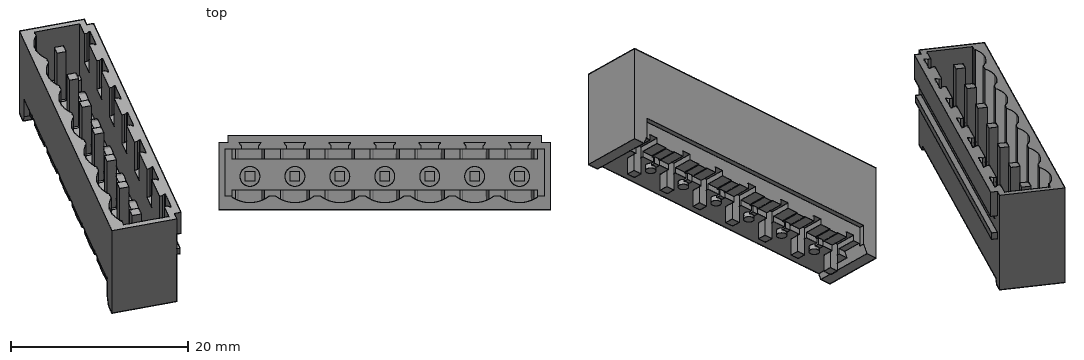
import cadquery as cq
import math


length = 37.45
depth = 7.65
height = 12.0
end_wall = 0.67

pin_count = 7
pin_row_span = 30.45
pitch = pin_row_span / (pin_count - 1)
pin_side = 1.1
pin_y = 3.8
pin_top = 11.15
pin_bottom = -1.5
collar_radius = 1.12
collar_depth = 0.22

cavity_front = 1.57
cavity_back = 6.9
floor_z = 4.5

scallop_front = 0.82
scallop_half_width = 2.17

trench_margin = 1.5
trench_z = 2.8
front_trench_edge = 2.25
back_trench_edge = 5.77

ridge_half_width = 1.65
ridge_crown_half_width = 1.35
ridge_flank_angle = math.radians(58)
ridge_crown_angle = math.radians(47)

neck_half_width = 0.97
tail_half_width = 1.2
neck_length = 0.35
tail_lip = 0.1
window_sill = 7.9

rail_margin = 1.0
latch_rail_projection = 0.8
latch_rail_bottom = 8.9
lower_rail_projection = 0.67
lower_rail_bottom = 6.0
lower_rail_top = 6.8

recess_margin = 1.95
recess_depth = 0.6
recess_top = 3.52
clearance_margin_bottom = 1.42
clearance_margin_top = 2.1
clearance_front_z = 1.35
clearance_back_z = 0.65
clearance_step_y = 2.95
pin_slot_top = 2.05

foot_radius = 0.6
rib_width = 0.7
rib_projection = 0.22
rib_bottom = 0.37
pad_height = 0.1

pin_xs = [(i - (pin_count - 1) / 2) * pitch for i in range(pin_count)]
foot_xs = [x + pitch / 2 for x in pin_xs[:-1]]


def block(x0, x1, y0, y1, z0, z1):
    """Axis-aligned block between the given limits."""
    return cq.Workplane("XY").box(x1 - x0, y1 - y0, z1 - z0, centered=False).translate((x0, y0, z0))


def span(margin, y0, y1, z0, z1):
    """Block centred in X that stops short of each housing end by the margin."""
    return block(margin - length / 2, length / 2 - margin, y0, y1, z0, z1)


def bar(x, width, y0, y1, z0, z1):
    """Block of the given width centred on x."""
    return block(x - width / 2, x + width / 2, y0, y1, z0, z1)


def scallop(x):
    """Shallow arc-shaped bite into the front wall."""
    return (
        cq.Workplane("XY", origin=(x, 0, trench_z))
        .moveTo(-scallop_half_width, cavity_front)
        .threePointArc((0, scallop_front), (scallop_half_width, cavity_front))
        .lineTo(scallop_half_width, front_trench_edge)
        .lineTo(-scallop_half_width, front_trench_edge)
        .close()
        .extrude(height - trench_z)
    )


def ridge(x, y0, y1):
    """Ridge with straight steep flanks under a round crown."""
    crown_radius = ridge_crown_half_width / math.sin(ridge_crown_angle)
    shoulder = (ridge_half_width - ridge_crown_half_width) * math.tan(ridge_flank_angle)
    crest = shoulder + crown_radius * (1 - math.cos(ridge_crown_angle))
    return (
        cq.Workplane("XZ", origin=(x, y1, trench_z))
        .moveTo(-ridge_half_width, 0)
        .lineTo(-ridge_crown_half_width, shoulder)
        .threePointArc((0, crest), (ridge_crown_half_width, shoulder))
        .lineTo(ridge_half_width, 0)
        .close()
        .extrude(y1 - y0)
    )


def window(x):
    """Dovetail slot from the cavity through the back wall, above the sill."""
    neck_end = cavity_back + neck_length
    tail_start = depth - tail_lip
    return (
        cq.Workplane("XY", origin=(x, 0, window_sill))
        .polyline([
            (-neck_half_width, cavity_back),
            (-neck_half_width, neck_end),
            (-tail_half_width, tail_start),
            (-tail_half_width, depth),
            (tail_half_width, depth),
            (tail_half_width, tail_start),
            (neck_half_width, neck_end),
            (neck_half_width, cavity_back),
        ])
        .close()
        .extrude(height - window_sill)
    )


def underside_clearance(y0, y1, top):
    """Channel between the end legs, which widen toward the top."""
    lean = (clearance_margin_top - clearance_margin_bottom) / clearance_front_z
    bottom_half = length / 2 - clearance_margin_bottom
    top_half = bottom_half - lean * top
    return (
        cq.Workplane("XZ", origin=(0, y1, 0))
        .polyline([(-bottom_half, 0), (-top_half, top), (top_half, top), (bottom_half, 0)])
        .close()
        .extrude(y1 - y0)
    )


body = span(0, 0, depth, 0, height)
body = body.cut(span(end_wall, cavity_front, cavity_back, floor_z, height))

trenches = span(trench_margin, cavity_front, front_trench_edge, trench_z, height)
for x in pin_xs:
    trenches = trenches.union(scallop(x))
trenches = trenches.intersect(span(trench_margin, 0, depth, trench_z, height))
back_trench = span(trench_margin, back_trench_edge, cavity_back, trench_z, height)
body = body.cut(trenches).cut(back_trench)

for x in pin_xs:
    body = body.union(ridge(x, scallop_front, front_trench_edge))
    body = body.union(ridge(x, back_trench_edge, cavity_back))

for x in pin_xs:
    body = body.cut(window(x))
body = body.union(span(rail_margin, depth, depth + latch_rail_projection, latch_rail_bottom, height))
body = body.union(
    span(rail_margin, depth, depth + lower_rail_projection, lower_rail_bottom, lower_rail_top)
)

body = body.cut(span(recess_margin, 0, recess_depth, 0, recess_top))
body = body.cut(underside_clearance(0, clearance_step_y, clearance_front_z))
body = body.cut(underside_clearance(clearance_step_y, depth, clearance_back_z))

rib_front = clearance_step_y - rib_projection
pad_bottom = clearance_front_z - pad_height
for x in foot_xs:
    foot = cq.Workplane("XY", origin=(x, pin_y, 0)).circle(foot_radius).extrude(clearance_back_z)
    rib = bar(x, rib_width, rib_front, pin_y, rib_bottom, clearance_front_z)
    pad = bar(x, 2 * foot_radius, recess_depth, clearance_step_y, pad_bottom, clearance_front_z)
    body = body.union(foot).union(rib).union(pad)

pin_front = pin_y - pin_side / 2
for x in pin_xs:
    body = body.cut(bar(x, pin_side, 0, pin_front, 0, pin_slot_top))
    collar = cq.Workplane("XY", origin=(x, pin_y, floor_z)).circle(collar_radius).extrude(-collar_depth)
    body = body.cut(collar)
    body = body.union(bar(x, pin_side, pin_front, pin_front + pin_side, pin_bottom, pin_top))

result = body